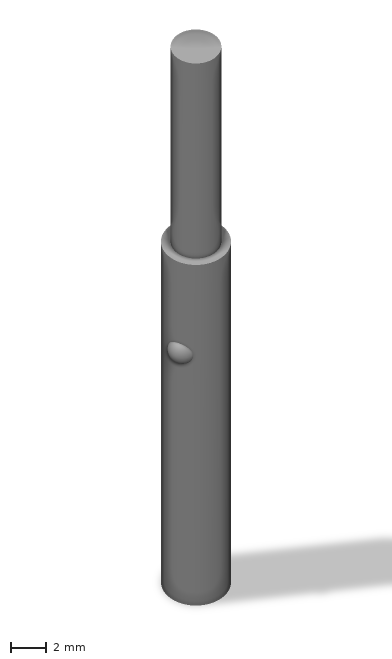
import cadquery as cq

body_diameter = 4.0
body_length = 26.2
pin_diameter = 2.9
total_length = 41.2
ball_diameter = 1.7
ball_projection = 0.45
ball_below_shoulder = 7.0

body_radius = body_diameter / 2
pin_radius = pin_diameter / 2
ball_radius = ball_diameter / 2
pin_length = total_length - body_length
ball_height = body_length - ball_below_shoulder


def make_body():
    """Cylindrical body standing on the XY plane."""
    return cq.Workplane("XY").circle(body_radius).extrude(body_length)


def make_pin():
    """Thinner pin rising from the top of the body."""
    pin_base = cq.Workplane("XY").workplane(offset=body_length)
    return pin_base.circle(pin_radius).extrude(pin_length)


def make_ball():
    """Ball set into the -Y side of the body, with its poles along Y."""
    centre_y = -(body_radius + ball_projection - ball_radius)
    return cq.Workplane("XZ", origin=(0, centre_y, ball_height)).sphere(ball_radius)


result = make_body().union(make_pin()).union(make_ball())